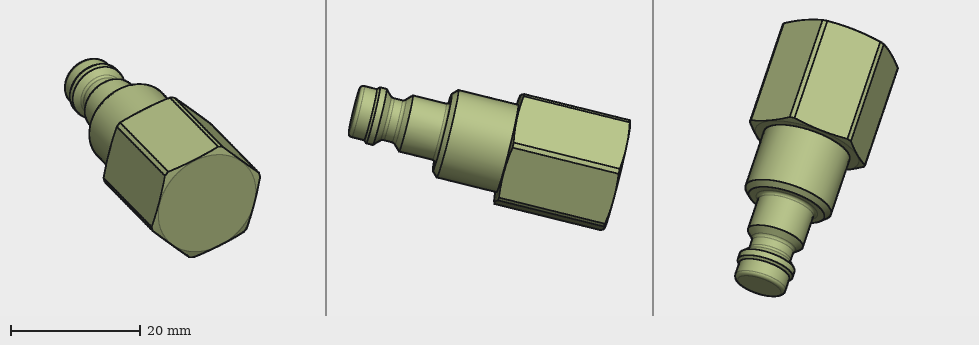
import cadquery as cq
import math

total_length = 42.0
collar_start = 2.6
collar_flat_start = 3.02
collar_end = 4.07
stem_start = 8.27
body_start = 14.05
hex_start = 24.45

tip_diameter = 8.2
collar_diameter = 9.0
neck_diameter = 6.7
stem_diameter = collar_diameter
body_diameter = 14.0

across_flats = 17.0
corner_diameter = 19.2
hex_face_diameter = 16.85
hex_chamfer_angle = 15.0
hex_rotation = -15.0

tip_fillet = 0.6
neck_fillet = 0.75
stem_fillet = 0.5
body_chamfer = 0.85


def make_plug():
    """Turned plug: tip, locking collar, neck with 45 degree flanks, stem and body."""
    tip_radius = tip_diameter / 2
    collar_radius = collar_diameter / 2
    neck_radius = neck_diameter / 2
    stem_radius = stem_diameter / 2
    body_radius = body_diameter / 2

    flank_angle = math.radians(45)
    neck_depth = collar_radius - neck_radius
    floor_setback = neck_fillet * math.tan(flank_angle / 2)
    flank_setback = floor_setback * math.cos(flank_angle)
    floor_start = collar_end + neck_depth
    floor_end = stem_start - neck_depth
    arc_mid_offset = floor_setback - neck_fillet * math.sin(flank_angle / 2)
    arc_mid_radius = neck_radius + neck_fillet * (1 - math.cos(flank_angle / 2))

    quarter_mid = 1 - math.sqrt(0.5)
    tip_mid = tip_fillet * quarter_mid
    stem_mid = stem_fillet * quarter_mid

    return (
        cq.Workplane("XY")
        .moveTo(0, 0)
        .lineTo(0, tip_radius - tip_fillet)
        .threePointArc((tip_mid, tip_radius - tip_mid), (tip_fillet, tip_radius))
        .lineTo(collar_start, tip_radius)
        .lineTo(collar_flat_start, collar_radius)
        .lineTo(collar_end, collar_radius)
        .lineTo(floor_start - flank_setback, neck_radius + flank_setback)
        .threePointArc(
            (floor_start + arc_mid_offset, arc_mid_radius),
            (floor_start + floor_setback, neck_radius),
        )
        .lineTo(floor_end - floor_setback, neck_radius)
        .threePointArc(
            (floor_end - arc_mid_offset, arc_mid_radius),
            (floor_end + flank_setback, neck_radius + flank_setback),
        )
        .lineTo(stem_start, stem_radius)
        .lineTo(body_start - stem_fillet, stem_radius)
        .threePointArc(
            (body_start - stem_mid, stem_radius + stem_mid),
            (body_start, stem_radius + stem_fillet),
        )
        .lineTo(body_start, body_radius - body_chamfer)
        .lineTo(body_start + body_chamfer, body_radius)
        .lineTo(hex_start, body_radius)
        .lineTo(hex_start, 0)
        .close()
        .revolve(360, (0, 0, 0), (1, 0, 0))
    )


def make_hex():
    """Hexagon trimmed by a cylinder that is chamfered at both ends."""
    hex_length = total_length - hex_start
    prism = (
        cq.Workplane("YZ", origin=(hex_start, 0, 0))
        .polygon(6, across_flats, circumscribed=True)
        .extrude(hex_length)
        .rotate((0, 0, 0), (1, 0, 0), hex_rotation)
    )

    face_radius = hex_face_diameter / 2
    corner_radius = corner_diameter / 2
    chamfer_length = (corner_radius - face_radius) * math.tan(math.radians(hex_chamfer_angle))
    envelope = (
        cq.Workplane("XY")
        .moveTo(hex_start, 0)
        .lineTo(hex_start, face_radius)
        .lineTo(hex_start + chamfer_length, corner_radius)
        .lineTo(total_length - chamfer_length, corner_radius)
        .lineTo(total_length, face_radius)
        .lineTo(total_length, 0)
        .close()
        .revolve(360, (0, 0, 0), (1, 0, 0))
    )
    return prism.intersect(envelope)


result = make_plug().union(make_hex())